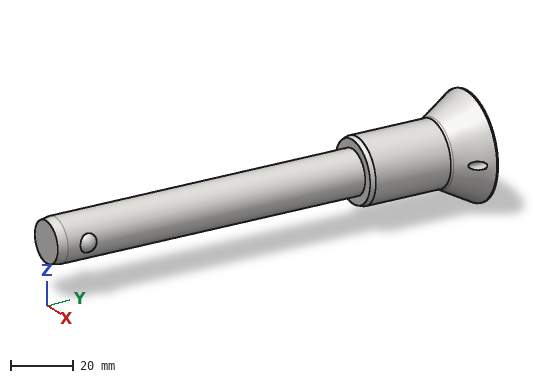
import cadquery as cq

total_length = 157.1
handle_length = 43.1
shank_length = total_length - handle_length

head_diameter = 38.0
rim_thickness = 0.5
head_base_diameter = 24.3
flare_end_depth = 12.7
neck_length = 0.7

sleeve_diameter = 23.5
sleeve_nose_diameter = 22.3
sleeve_nose_length = 1.8

shank_diameter = 16.0
tip_diameter = 14.8
tip_length = 3.4

ball_diameter = 7.0
ball_span = 19.5
ball_to_tip = 11.1

lanyard_hole_diameter = 3.0
lanyard_hole_offset = 16.0


def make_pin_body():
    """Handle, sleeve and shank as a single revolved profile."""
    back_y = handle_length
    flare_end_y = back_y - flare_end_depth
    profile = [
        (0, back_y),
        (head_diameter / 2, back_y),
        (head_diameter / 2, back_y - rim_thickness),
        (head_base_diameter / 2, flare_end_y),
        (sleeve_diameter / 2, flare_end_y - neck_length),
        (sleeve_diameter / 2, sleeve_nose_length),
        (sleeve_nose_diameter / 2, 0),
        (shank_diameter / 2, 0),
        (shank_diameter / 2, tip_length - shank_length),
        (tip_diameter / 2, -shank_length),
        (0, -shank_length),
    ]
    return cq.Workplane("XY").polyline(profile).close().revolve(360, (0, 0, 0), (0, 1, 0))


def make_locking_ball(side):
    """Ball on the +X (side = 1) or -X (side = -1) flank of the shank."""
    ball_x = side * (ball_span - ball_diameter) / 2
    ball_y = ball_to_tip - shank_length
    return cq.Workplane("XY").sphere(ball_diameter / 2).translate((ball_x, ball_y, 0))


def make_lanyard_hole():
    """Cutter that runs along Y through the whole handle length."""
    return (
        cq.Workplane("XZ", origin=(lanyard_hole_offset, handle_length, 0))
        .circle(lanyard_hole_diameter / 2)
        .extrude(handle_length)
    )


result = make_pin_body()
for flank in (-1, 1):
    result = result.union(make_locking_ball(flank))
result = result.cut(make_lanyard_hole())